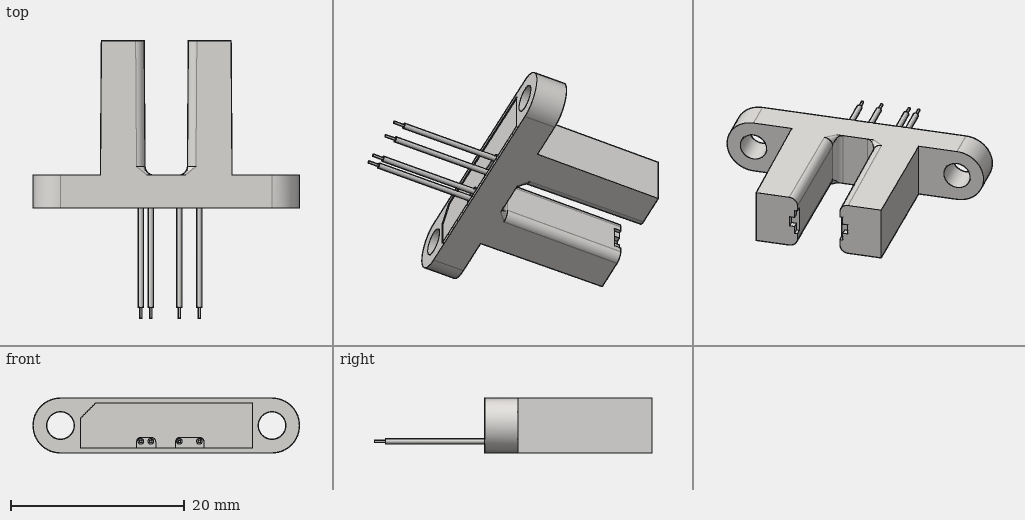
import cadquery as cq
import math

FLANGE_LENGTH = 30.73
HEIGHT = 6.35
FLANGE_THICKNESS = 3.81
HOLE_DIAMETER = 3.15
HALF_HEIGHT = HEIGHT / 2
HOLE_X = FLANGE_LENGTH / 2 - HALF_HEIGHT

TIP_Y = 19.30
ARM_OUTER_X = 7.60
ARM_INNER_X = 2.42
ARM_TAPER = 0.11
ROOT_RADIUS = 0.98
EDGE_RADIUS = 1.0
ROOT_TOP_Y = FLANGE_THICKNESS + ROOT_RADIUS
ROOT_BLEND_END_X = 2.20
ROOT_BLEND_END_HEIGHT = 0.05
CUT_MARGIN = 0.2
ROOT_BLEND_STATIONS = 3
QUARTER_ARC_PULL = 4 / 3 * (math.sqrt(2) - 1)

RECESS_LENGTH = 0.79
RECESS_HEIGHT = 3.0
RECESS_DEPTH = 0.35
NOTCH_HEIGHT = 1.2
NOTCH_DEPTH = 0.6

PANEL_LEFT = -9.90
PANEL_RIGHT = 9.93
PANEL_TOP = 2.57
PANEL_BOTTOM = -2.57
PANEL_CORNER = 1.75
PANEL_DEPTH = 0.13

POCKET_SPANS = ((-3.42, -1.21), (1.08, 4.35))
POCKET_TOP = -1.38
POCKET_RADIUS = 0.5
POCKET_DEPTH = 2.0
WIRE_X = (-2.93, -1.78, 1.52, 3.82)
WIRE_Z = -1.83
WIRE_DIAMETER = 0.64
CORE_DIAMETER = 0.30
WIRE_END_Y = -11.46
CORE_END_Y = -12.73


def rod_along_y(x, z, diameter, y_start, y_end):
    """Round rod parallel to Y."""
    circle = cq.Workplane("XZ", origin=(x, y_end, z)).circle(diameter / 2)
    return circle.extrude(y_end - y_start)


def box_between(x_range, y_range, z_range):
    """Box given by its limits on each axis."""
    sizes = [high - low for low, high in (x_range, y_range, z_range)]
    corner = (x_range[0], y_range[0], z_range[0])
    return cq.Workplane("XY").box(*sizes, centered=False).translate(corner)


def taper_at(y):
    """Inward shift of each side of an arm at the given Y."""
    return ARM_TAPER * (y - FLANGE_THICKNESS) / (TIP_Y - FLANGE_THICKNESS)


def inner_face_x(y):
    """X of the tapered inner face of the right arm."""
    return ARM_INNER_X + taper_at(y)


def outer_face_x(y):
    """X of the tapered outer face of the right arm."""
    return ARM_OUTER_X - taper_at(y)


def root_x(y):
    """X of the concave root arc, for Y between the gap floor and the root top."""
    drop = ROOT_TOP_Y - y
    return inner_face_x(ROOT_TOP_Y) - ROOT_RADIUS + math.sqrt(ROOT_RADIUS**2 - drop**2)


def flange_with_roots():
    """Round-ended flange carrying the root of each arm."""
    inner_root = inner_face_x(ROOT_TOP_Y)
    root_end = inner_root - ROOT_RADIUS
    bend = ROOT_RADIUS * math.sin(math.pi / 4)
    half_outline = (
        cq.Workplane("XY", origin=(0, 0, -HALF_HEIGHT))
        .lineTo(FLANGE_LENGTH / 2, 0)
        .lineTo(FLANGE_LENGTH / 2, FLANGE_THICKNESS)
        .lineTo(ARM_OUTER_X, FLANGE_THICKNESS)
        .lineTo(outer_face_x(ROOT_TOP_Y), ROOT_TOP_Y)
        .lineTo(inner_root, ROOT_TOP_Y)
        .threePointArc((root_end + bend, ROOT_TOP_Y - bend), (root_end, FLANGE_THICKNESS))
        .lineTo(0, FLANGE_THICKNESS)
    )
    round_ended = cq.Workplane("XZ").slot2D(FLANGE_LENGTH, HEIGHT).extrude(-ROOT_TOP_Y)
    return half_outline.mirrorY().extrude(HEIGHT).intersect(round_ended)


def tip_recess_cutter():
    """Stepped recess at the tip of the right arm: a wide step and a narrow deeper notch."""
    floor_x = inner_face_x(TIP_Y) + RECESS_DEPTH
    y_range = (TIP_Y - RECESS_LENGTH, TIP_Y)
    step = box_between((0, floor_x), y_range, (-RECESS_HEIGHT / 2, RECESS_HEIGHT / 2))
    notch = box_between((0, floor_x + NOTCH_DEPTH), y_range, (-NOTCH_HEIGHT / 2, NOTCH_HEIGHT / 2))
    return step.union(notch)


def right_arm():
    """Tapered arm above its root, with rounded long inner edges and a recessed tip."""
    outline = cq.Workplane("XY", origin=(0, 0, -HALF_HEIGHT)).polyline([
        (outer_face_x(ROOT_TOP_Y), ROOT_TOP_Y),
        (outer_face_x(TIP_Y), TIP_Y),
        (inner_face_x(TIP_Y), TIP_Y),
        (inner_face_x(ROOT_TOP_Y), ROOT_TOP_Y),
    ]).close()
    arm = outline.extrude(HEIGHT)
    arm = arm.faces("<X").edges("not(|Z)").fillet(EDGE_RADIUS)
    return arm.cut(tip_recess_cutter())


def corner_wire(y, corner_x, width, drop):
    """Section outside a rounded upper inner edge, in the plane at the given Y."""
    pull = 1 - QUARTER_ARC_PULL
    start = cq.Vector(corner_x + width, y, HALF_HEIGHT)
    start_pull = cq.Vector(corner_x + width * pull, y, HALF_HEIGHT)
    end_pull = cq.Vector(corner_x, y, HALF_HEIGHT - drop * pull)
    end = cq.Vector(corner_x, y, HALF_HEIGHT - drop)
    outer_points = [
        end,
        cq.Vector(corner_x - CUT_MARGIN, y, HALF_HEIGHT - drop),
        cq.Vector(corner_x - CUT_MARGIN, y, HALF_HEIGHT + CUT_MARGIN),
        cq.Vector(corner_x + width, y, HALF_HEIGHT + CUT_MARGIN),
        start,
    ]
    edges = [cq.Edge.makeBezier([start, start_pull, end_pull, end])]
    for point, next_point in zip(outer_points, outer_points[1:]):
        edges.append(cq.Edge.makeLine(point, next_point))
    return cq.Wire.assembleEdges(edges)


def root_blend_cutter():
    """Material removed where the upper edge rounding of the right arm fades out over its root."""
    blend_start_x = inner_face_x(ROOT_TOP_Y) + EDGE_RADIUS
    sections = []
    for station in range(ROOT_BLEND_STATIONS + 1):
        fade = station / ROOT_BLEND_STATIONS
        y = ROOT_TOP_Y - fade * ROOT_RADIUS
        width = blend_start_x + fade * (ROOT_BLEND_END_X - blend_start_x) - root_x(y)
        drop = EDGE_RADIUS + fade * (ROOT_BLEND_END_HEIGHT - EDGE_RADIUS)
        sections.append(corner_wire(y, root_x(y), width, drop))
    return cq.Workplane(cq.Solid.makeLoft(sections))


def blend_roots(body):
    """Fade out the edge rounding at all four arm root corners."""
    upper = root_blend_cutter()
    for cutter in (upper, upper.mirror("XY")):
        body = body.cut(cutter).cut(cutter.mirror("YZ"))
    return body


def drill_mounting_holes(body):
    """Drill the through hole at each end of the flange."""
    for x in (-HOLE_X, HOLE_X):
        body = body.cut(rod_along_y(x, 0, HOLE_DIAMETER, 0, FLANGE_THICKNESS))
    return body


def panel_recess():
    """Shallow panel cut into the back face."""
    outline = cq.Workplane("XZ").polyline([
        (PANEL_LEFT, PANEL_BOTTOM),
        (PANEL_RIGHT, PANEL_BOTTOM),
        (PANEL_RIGHT, PANEL_TOP),
        (PANEL_LEFT + PANEL_CORNER, PANEL_TOP),
        (PANEL_LEFT, PANEL_TOP - PANEL_CORNER),
    ]).close()
    return outline.extrude(-PANEL_DEPTH)


def wire_pocket(left, right):
    """Pocket on the lower edge of the panel, with rounded upper corners."""
    pocket = box_between((left, right), (0, POCKET_DEPTH), (PANEL_BOTTOM, POCKET_TOP))
    return pocket.edges("|Y and >Z").fillet(POCKET_RADIUS)


def wire(x):
    """Insulated wire with a bare core at its free end."""
    insulation = rod_along_y(x, WIRE_Z, WIRE_DIAMETER, WIRE_END_Y, POCKET_DEPTH)
    core = rod_along_y(x, WIRE_Z, CORE_DIAMETER, CORE_END_Y, WIRE_END_Y)
    return insulation.union(core)


arm = right_arm()
result = drill_mounting_holes(blend_roots(flange_with_roots()))
result = result.union(arm).union(arm.mirror("YZ"))
result = result.cut(panel_recess())
for pocket_left, pocket_right in POCKET_SPANS:
    result = result.cut(wire_pocket(pocket_left, pocket_right))
for wire_x in WIRE_X:
    result = result.union(wire(wire_x))